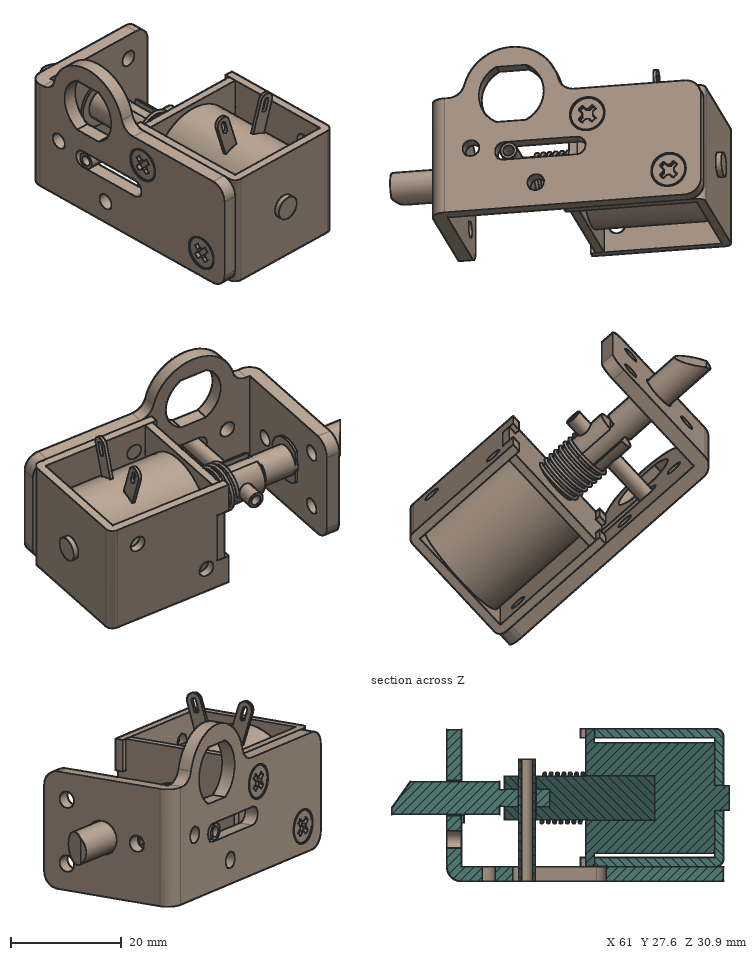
import cadquery as cq
import math


overall_length = 61
height = 22.0
depth = 27.6
bracket_length = 50.0
bracket_wall = 2.7
frame_wall = 1.65
axis_y = 15.05
axis_z = height / 2
corner_radius = 3.0
mounting_hole_radius = 1.5

leg_depth = 27.45
eye_x = 15.0
eye_outer_radius = 8.95
eye_fillet_radius = 3.0
eye_hole_radius = 6.0
eye_hole_half_height = 5.3
slot_start = 12.0
slot_end = 28.75
slot_width = 3.4
bolt_clearance_radius = 3.2
front_holes = [(7.55, 12.0), (19.5, 4.5)]
hole_spread = 11.95
hole_low = axis_z - hole_spread / 2
hole_high = axis_z + hole_spread / 2
leg_holes = [(7.55, axis_z), (22.6, hole_low), (22.6, hole_high)]

screw_places = [(29.05, hole_high), (44.05, hole_low)]
sink_radius = 3.25
head_radius = 3.05
shank_radius = 1.5
recess_square = 1.95
recess_arm_span = 3.55
recess_arm_width = 1.0
recess_depth = 0.9

frame_start = 24.15
frame_bend_radius = 1.45
frame_back = bracket_length - frame_wall
tab_height = 5.9
notch_height = height - 2 * tab_height

plate_start = 25.1
plate_thickness = 1.6
plate_end = plate_start + plate_thickness
coil_radius = 10.0
core_radius = 2.25
core_end = 51.05
terminal_x = 39.8
terminal_thickness = 0.6
terminal_tilt = 17.5
terminal_spread = 5.5
terminal_tip_z = 26.6
terminal_width = 2.9
terminal_length = 7.3
terminal_slot_width = 1.0
terminal_slot_travel = 1.75

plunger_radius = 3.95
plunger_start = 10.45
plunger_end = (plate_end + frame_back) / 2
tongue_width = 3.05
tongue_end = 18.6
bolt_tip = core_end - overall_length
bolt_radius = 3.0
bolt_shoulder = 9.6
bevel_length = 3.4
bevel_start_y = -1.8
collar_radius = 4.5
collar_thickness = 0.5
collar_flat = 2.9
pin_x = 14.5
pin_radius = 1.5
pin_bore_radius = 1.0
pin_hole_radius = 1.6
pin_end = 22.1
wire_radius = 0.3
spring_start = 16.6
spring_end = 24.65
spring_turns = 7
spring_start_radius = 4.35
spring_end_radius = 4.4


def cylinder_x(radius, start, end, y=axis_y, z=axis_z):
    """Cylinder along X between two X positions."""
    return cq.Workplane("YZ", origin=(start, y, z)).circle(radius).extrude(end - start)


def cylinder_y(radius, start, end, x, z):
    """Cylinder along Y between two Y positions."""
    return cq.Workplane("XZ", origin=(x, start, z)).circle(radius).extrude(start - end)


def block(x0, x1, y0, y1, z0, z1):
    """Box between two corners."""
    return cq.Workplane("XY").box(x1 - x0, y1 - y0, z1 - z0, centered=False).translate((x0, y0, z0))


def make_front_plate():
    """Front wall of the bracket, with the eye blended into its top edge."""
    centre_distance = eye_outer_radius + eye_fillet_radius
    blend_reach = math.sqrt(centre_distance**2 - eye_fillet_radius**2)
    contact = eye_outer_radius / centre_distance
    contact_x = blend_reach * contact
    contact_z = height + eye_fillet_radius * contact
    plate = (
        cq.Workplane("XZ")
        .lineTo(0, height)
        .lineTo(eye_x - blend_reach, height)
        .tangentArcPoint((eye_x - contact_x, contact_z), relative=False)
        .threePointArc((eye_x, height + eye_outer_radius), (eye_x + contact_x, contact_z))
        .tangentArcPoint((eye_x + blend_reach, height), relative=False)
        .lineTo(bracket_length, height)
        .lineTo(bracket_length, 0)
        .close()
        .extrude(-bracket_wall)
    )
    return plate.edges("|Y").edges(">X").fillet(corner_radius)


def make_bracket():
    leg = block(0, bracket_wall, 0, leg_depth, 0, height)
    leg = leg.edges("|X and >Y").fillet(corner_radius)
    bracket = make_front_plate().union(leg)
    bracket = bracket.edges("|Z and <X and <Y").fillet(bracket_wall)

    eye_hole = cylinder_y(eye_hole_radius, 0, bracket_wall, eye_x, height).intersect(
        block(
            0, bracket_length, 0, bracket_wall,
            height - eye_hole_half_height, height + eye_hole_half_height,
        )
    )
    slot = (
        cq.Workplane("XZ", origin=((slot_start + slot_end) / 2, 0, axis_z))
        .slot2D(slot_end - slot_start, slot_width)
        .extrude(-bracket_wall)
    )
    bracket = bracket.cut(eye_hole).cut(slot).cut(cylinder_x(bolt_clearance_radius, 0, bracket_wall))
    for x, z in front_holes:
        bracket = bracket.cut(cylinder_y(mounting_hole_radius, 0, bracket_wall, x, z))
    for y, z in leg_holes:
        bracket = bracket.cut(cylinder_x(mounting_hole_radius, 0, bracket_wall, y, z))
    for x, z in screw_places:
        sink_depth = sink_radius - shank_radius
        sink = cq.Solid.makeCone(
            sink_radius, shank_radius, sink_depth, pnt=cq.Vector(x, 0, z), dir=cq.Vector(0, 1, 0)
        )
        bracket = bracket.cut(cq.Workplane(sink)).cut(cylinder_y(shank_radius, 0, bracket_wall, x, z))
    return bracket


def make_screw(x, z):
    """Countersunk screw: a short straight rim leaves a ring gap around the head."""
    length = bracket_wall + frame_wall
    screw = (
        cq.Workplane("XY")
        .lineTo(head_radius, 0)
        .lineTo(head_radius, sink_radius - head_radius)
        .lineTo(shank_radius, sink_radius - shank_radius)
        .lineTo(shank_radius, length)
        .lineTo(0, length)
        .close()
        .revolve(360, (0, 0, 0), (0, 1, 0))
    )
    face = cq.Workplane("XZ")
    recess = face.rect(recess_square, recess_square).extrude(-recess_depth)
    for angle in (45, 135):
        arm = face.transformed(rotate=(0, 0, angle)).rect(recess_arm_span, recess_arm_width)
        recess = recess.union(arm.extrude(-recess_depth))
    return screw.cut(recess).translate((x, 0, z))


def make_frame():
    """U-shaped frame, open toward the bolt, with a notch in the end of each flange."""
    outside = block(frame_start, bracket_length, bracket_wall, depth, 0, height)
    outside = outside.edges("|Z and >X").fillet(frame_bend_radius)
    inside = block(frame_start, frame_back, bracket_wall + frame_wall, depth - frame_wall, 0, height)
    frame = outside.cut(inside)
    notch = block(frame_start, plate_end, bracket_wall, depth, tab_height, tab_height + notch_height)
    frame = frame.cut(notch).cut(cylinder_x(core_radius, frame_back, bracket_length))
    for x, z in screw_places:
        front_hole = cylinder_y(shank_radius, bracket_wall, bracket_wall + frame_wall, x, z)
        back_hole = cylinder_y(shank_radius, depth - frame_wall, depth, x, height - z)
        frame = frame.cut(front_hole).cut(back_hole)
    return frame


def make_terminal(side):
    """Round-ended solder tag, leaning outward; side is +1 toward the back, -1 toward the front."""
    tag = (
        cq.Workplane("YZ")
        .circle(terminal_width / 2)
        .extrude(terminal_thickness)
        .union(
            block(0, terminal_thickness, -terminal_width / 2, terminal_width / 2, -terminal_length, 0)
        )
    )
    slot = (
        cq.Workplane("YZ", origin=(0, 0, -terminal_slot_travel / 2))
        .slot2D(terminal_slot_travel + terminal_slot_width, terminal_slot_width, 90)
        .extrude(terminal_thickness)
    )
    tag = tag.cut(slot).rotate((0, 0, 0), (1, 0, 0), -side * terminal_tilt)
    return tag.translate(
        (terminal_x - terminal_thickness / 2, axis_y + side * terminal_spread, terminal_tip_z)
    )


def make_coil():
    """Coil with its end plate, core stub and two solder tags."""
    plate = block(plate_start, plate_end, bracket_wall + frame_wall, depth - frame_wall, 0, height)
    lugs = block(plate_start, plate_end, bracket_wall, depth, tab_height, tab_height + notch_height)
    coil = plate.union(lugs).union(cylinder_x(coil_radius, plate_end, frame_back))
    coil = coil.union(cylinder_x(core_radius, frame_back, core_end))
    for side in (-1, 1):
        coil = coil.union(make_terminal(side))
    return coil.cut(cylinder_x(plunger_radius, plate_start, plunger_end))


def tongue_space(start):
    """Slab between the plunger's slot walls, from an X position to the slot's end."""
    return block(
        start, tongue_end,
        axis_y - tongue_width / 2, axis_y + tongue_width / 2,
        axis_z - plunger_radius, axis_z + plunger_radius,
    )


def make_plunger():
    plunger = cylinder_x(plunger_radius, plunger_start, plunger_end).cut(tongue_space(plunger_start))
    return plunger.cut(cylinder_y(pin_hole_radius, 0, depth, pin_x, axis_z))


def make_bolt():
    """Bevelled latch bolt with a D-shaped collar and a flat tongue."""
    shaft = cylinder_x(bolt_radius, bolt_tip, bolt_shoulder)
    tongue = cylinder_x(bolt_radius, bolt_shoulder, tongue_end).intersect(tongue_space(bolt_shoulder))
    collar = cylinder_x(collar_radius, bracket_wall, bracket_wall + collar_thickness).intersect(
        block(
            bracket_wall, bolt_shoulder,
            axis_y - collar_radius, axis_y + collar_flat,
            axis_z - collar_radius, axis_z + collar_radius,
        )
    )
    bevel = (
        cq.Workplane("XY")
        .moveTo(bolt_tip, axis_y + bevel_start_y)
        .lineTo(bolt_tip + bevel_length, axis_y + bolt_radius)
        .lineTo(bolt_tip, axis_y + bolt_radius)
        .close()
        .extrude(height)
    )
    bolt = shaft.union(tongue).union(collar).cut(bevel)
    return bolt.cut(cylinder_y(pin_hole_radius, 0, depth, pin_x, axis_z))


def make_pin():
    pin = cylinder_y(pin_radius, 0, pin_end, pin_x, axis_z)
    return pin.cut(cylinder_y(pin_bore_radius, 0, pin_end, pin_x, axis_z))


def make_spring():
    """Slightly conical right-hand spring around the plunger, ending at the coil's plate."""
    length = spring_end - spring_start
    taper = math.degrees(math.atan((spring_end_radius - spring_start_radius) / length))
    path = cq.Wire.makeHelix(length / spring_turns, length, spring_start_radius, angle=taper)
    wire = (
        cq.Workplane("XZ", origin=(spring_start_radius, 0, 0))
        .circle(wire_radius)
        .sweep(cq.Workplane(path), isFrenet=True)
    )
    along_x = wire.rotate((0, 0, 0), (0, 0, 1), 90).rotate((0, 0, 0), (0, 1, 0), 90)
    return along_x.translate((spring_start, axis_y, axis_z))


bracket = make_bracket()
screws = [make_screw(x, z) for x, z in screw_places]
frame = make_frame()
coil = make_coil()
plunger = make_plunger()
bolt = make_bolt()
pin = make_pin()
spring = make_spring()

result = cq.Compound.makeCompound([
    bracket.val(),
    *[screw.val() for screw in screws],
    frame.val(),
    coil.val(),
    plunger.val(),
    bolt.val(),
    pin.val(),
    spring.val(),
])